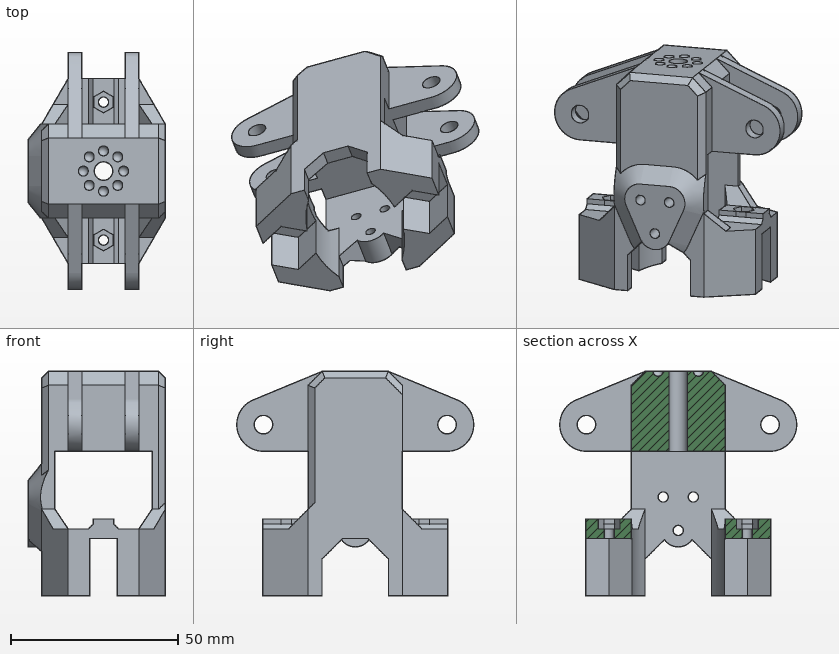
import cadquery as cq
import math

body_width = 37.0
body_depth = 28.2
body_height = 67.2
top_depth = 19.8
end_chamfer = 2.0
wall = 4.0
half_width = body_width / 2
half_depth = body_depth / 2
half_inside = half_width - wall
body_bevel = (body_depth - top_depth) / 2

base_length = 55.45
arm_top = 20.1
arm_tip_width = 21.15
ramp_start = 19.95
half_length = base_length / 2
half_tip = arm_tip_width / 2
wall_foot = arm_top + ramp_start - half_depth

rail_width = 6.2
rail_top = 23.1
rail_flare_top = 21.5
rail_flare = 1.4
nut_across_flats = 5.6
nut_depth = 3.0
screw_diameter = 3.0

pocket_radius = 8.15
pocket_height = 17.1
screw_offset = half_length - pocket_radius * math.cos(math.pi / 6)

leg_gap = top_depth
shoulder_start = 11.1

lug_span = 71
lug_pivot_y = 27.5
lug_pivot_z = 51.25
lug_radius = lug_span / 2 - lug_pivot_y
lug_thickness = 4.1
hole_diameter = 5.5
block_bottom = lug_pivot_z - lug_radius

pad_thickness = 4.05
pad_radius = 5.0
pad_foot_radius = 15.0
pad_hole_spacing = 9.0
pad_hole_half_spacing = pad_hole_spacing / 2
pad_upper_z = 29.6
pad_lower_z = 19.6
pad_hole_diameter = 3.0
pad_face = -half_width - pad_thickness

dimple_count = 8
dimple_ring_radius = 6.0
dimple_diameter = 3.0


def make_body():
    """Block bevelled along its long top edges, then chamfered around both X ends.

    The upright edge at the +X, +Y corner stays sharp.
    """
    block = cq.Workplane("XY").box(body_width, body_depth, body_height, centered=(True, True, False))
    block = block.edges(">Z and |X").chamfer(body_bevel)
    end_edges = block.faces("<X or >X").edges("not <Z").vals()
    sharp_edge = block.faces(">X").edges(">Y").val()
    return block.newObject([edge for edge in end_edges if not edge.isSame(sharp_edge)]).chamfer(end_chamfer)


def make_base():
    """Arms tapering in plan, with 45 degree ramps climbing to the walls."""
    right_side = [(half_tip, -half_length), (half_width, -half_depth),
                  (half_width, half_depth), (half_tip, half_length)]
    left_side = [(-x, y) for x, y in reversed(right_side)]
    plan = cq.Workplane("XY").polyline(right_side + left_side).close().extrude(body_height)

    ramp_end = top_depth / 2
    right_slope = [(half_length, 0), (half_length, arm_top), (ramp_start, arm_top),
                   (ramp_end, arm_top + ramp_start - ramp_end)]
    left_slope = [(-y, z) for y, z in reversed(right_slope)]
    side = cq.Workplane("YZ").polyline(right_slope + left_slope).close().extrude(half_width, both=True)
    return plan.intersect(side)


def make_window():
    """Opening along Y between the walls, down to the arm tops."""
    outline = [(-half_tip, arm_top), (half_tip, arm_top), (half_inside, wall_foot),
               (half_inside, block_bottom), (-half_inside, block_bottom), (-half_inside, wall_foot)]
    return cq.Workplane("XZ").polyline(outline).close().extrude(half_length, both=True)


def make_rail():
    half_rail = rail_width / 2
    half_flare = half_rail + rail_flare
    outline = [(-half_flare, arm_top), (half_flare, arm_top), (half_rail, rail_flare_top),
               (half_rail, rail_top), (-half_rail, rail_top), (-half_rail, rail_flare_top)]
    return cq.Workplane("XZ").polyline(outline).close().extrude(half_length, both=True)


def make_cavity():
    """Space between the arms, bowed outwards along Y."""
    corner_y = leg_gap / 2
    return (
        cq.Workplane("XY")
        .moveTo(-half_inside, -corner_y)
        .threePointArc((0, -half_depth), (half_inside, -corner_y))
        .lineTo(half_inside, corner_y)
        .threePointArc((0, half_depth), (-half_inside, corner_y))
        .close()
        .extrude(block_bottom)
    )


def make_leg_gap():
    half_gap = leg_gap / 2
    half_crown = half_gap - (pocket_height - shoulder_start)
    outline = [(-half_gap, 0), (half_gap, 0), (half_gap, shoulder_start), (half_crown, pocket_height),
               (-half_crown, pocket_height), (-half_gap, shoulder_start)]
    return cq.Workplane("YZ").polyline(outline).close().extrude(-pad_face, both=True)


def make_lug(start_x):
    """Plate with a rounded, drilled ear at both Y ends."""
    crown_y = top_depth / 2
    run = lug_pivot_y - crown_y
    drop = body_height - lug_pivot_z
    tangent_angle = math.atan2(drop, -run) - math.acos(lug_radius / math.hypot(run, drop))

    def on_rim(angle):
        return (lug_pivot_y + lug_radius * math.cos(angle), lug_pivot_z + lug_radius * math.sin(angle))

    tangent = on_rim(tangent_angle)
    tip = on_rim(0)
    bottom = on_rim(-math.pi / 2)
    plate = (
        cq.Workplane("YZ", origin=(start_x, 0, 0))
        .moveTo(-crown_y, body_height)
        .lineTo(crown_y, body_height)
        .lineTo(*tangent)
        .threePointArc(tip, bottom)
        .lineTo(-bottom[0], bottom[1])
        .threePointArc((-tip[0], tip[1]), (-tangent[0], tangent[1]))
        .close()
        .extrude(lug_thickness)
    )
    holes = (
        cq.Workplane("YZ", origin=(start_x, 0, 0))
        .pushPoints([(-lug_pivot_y, lug_pivot_z), (lug_pivot_y, lug_pivot_z)])
        .circle(hole_diameter / 2)
        .extrude(lug_thickness)
    )
    return plate.cut(holes)


def pad_outline(x, radius):
    """Rounded triangle around the three pad holes, on a plane across X."""
    run = pad_hole_half_spacing
    drop = pad_upper_z - pad_lower_z
    slant = math.hypot(run, drop)
    side_y = radius * drop / slant
    side_z = -radius * run / slant
    corner = radius / math.sqrt(2)
    return (
        cq.Workplane("YZ", origin=(x, 0, 0))
        .moveTo(-run, pad_upper_z + radius)
        .lineTo(run, pad_upper_z + radius)
        .threePointArc((run + corner, pad_upper_z + corner), (run + side_y, pad_upper_z + side_z))
        .lineTo(side_y, pad_lower_z + side_z)
        .threePointArc((0, pad_lower_z - radius), (-side_y, pad_lower_z + side_z))
        .lineTo(-run - side_y, pad_upper_z + side_z)
        .threePointArc((-run - corner, pad_upper_z + corner), (-run, pad_upper_z + radius))
        .close()
    )


def make_pad_flare():
    """Skirt widening from the pad face to the inside of the wall, trimmed to the wall's depth."""
    depth = -half_inside - pad_face
    taper = math.degrees(math.atan((pad_foot_radius - pad_radius) / depth))
    skirt = pad_outline(pad_face, pad_radius).extrude(depth, taper=-taper)
    trim = cq.Workplane("XY").box(-2 * pad_face, body_depth, body_height, centered=(True, True, False))
    return skirt.intersect(trim)


def make_pad():
    return pad_outline(pad_face, pad_radius).extrude(-half_inside - pad_face)


def pad_holes():
    centres = [(-pad_hole_half_spacing, pad_upper_z), (pad_hole_half_spacing, pad_upper_z), (0, pad_lower_z)]
    holes = cq.Workplane("YZ", origin=(pad_face, 0, 0)).pushPoints(centres)
    return holes.circle(pad_hole_diameter / 2).extrude(-half_inside - pad_face)


def arm_cuts(y):
    """Nut pocket, screw hole and underside pocket of the arm centred at y."""
    corner_diameter = nut_across_flats / math.cos(math.pi / 6)
    pocket = cq.Workplane("XY", origin=(0, y, 0)).polygon(6, 2 * pocket_radius).extrude(pocket_height)
    screw = cq.Workplane("XY", origin=(0, y, 0)).circle(screw_diameter / 2).extrude(rail_top)
    nut = (
        cq.Workplane("XY", origin=(0, y, rail_top))
        .transformed(rotate=(0, 0, 30))
        .polygon(6, corner_diameter)
        .extrude(-nut_depth)
    )
    return pocket.union(screw).union(nut)


def top_cuts():
    """Central bore surrounded by round-bottomed dimples."""
    bore = cq.Workplane("XY", origin=(0, 0, block_bottom)).circle(hole_diameter / 2)
    dimples = (
        cq.Workplane("XY", origin=(0, 0, body_height))
        .polarArray(dimple_ring_radius, 0, 360, dimple_count)
        .sphere(dimple_diameter / 2)
    )
    return bore.extrude(body_height - block_bottom).union(dimples)


frame = make_body().union(make_base()).union(make_pad_flare())
frame = frame.cut(make_window()).union(make_rail())
frame = frame.cut(make_cavity()).cut(make_leg_gap())
for start_x in (-half_tip, half_tip - lug_thickness):
    frame = frame.union(make_lug(start_x))
frame = frame.union(make_pad()).cut(pad_holes())
for arm_y in (-screw_offset, screw_offset):
    frame = frame.cut(arm_cuts(arm_y))
result = frame.cut(top_cuts())